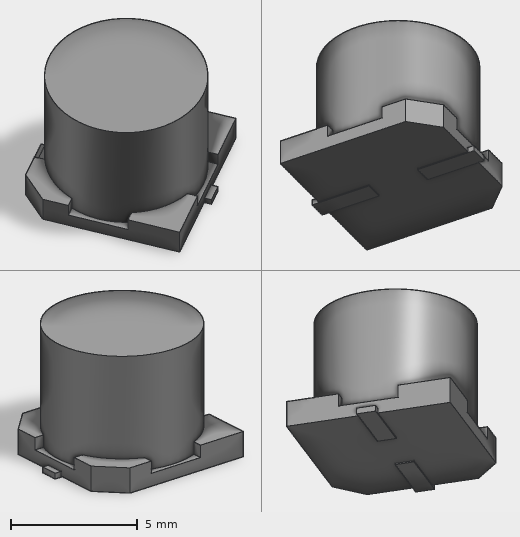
import cadquery as cq

overall_length = 7.39
overall_height = 5.57

base_width = 6.81
base_bottom = 0.05
base_top = 1.145
floor_height = 0.61
corner_chamfer = 1.095
notch_width = 2.48

can_diameter = 6.46

lead_width = 0.79
lead_thickness = 0.25
lead_gap = 2.21
lead_length = (overall_length - lead_gap) / 2


def make_can():
    """Cylindrical can standing on the floor of the base."""
    return (
        cq.Workplane("XY")
        .workplane(offset=floor_height)
        .circle(can_diameter / 2)
        .extrude(overall_height - floor_height)
    )


def make_lead(side):
    """Flat lead running outwards under the base; side is -1 or +1 along X."""
    center_x = side * (lead_gap + lead_length) / 2
    return (
        cq.Workplane("XY")
        .center(center_x, 0)
        .rect(lead_length, lead_width)
        .extrude(lead_thickness)
    )


def make_base(can, leads):
    """Square base with two chamfered corners, side notches, a can seat and lead grooves."""
    base = (
        cq.Workplane("XY")
        .workplane(offset=base_bottom)
        .rect(base_width, base_width)
        .extrude(base_top - base_bottom)
        .edges("|Z and <X")
        .chamfer(corner_chamfer)
    )
    notch_depth = base_top - floor_height
    floor = cq.Workplane("XY").workplane(offset=floor_height)
    base = base.cut(floor.rect(base_width, notch_width).extrude(notch_depth))
    base = base.cut(floor.rect(notch_width, base_width).extrude(notch_depth))
    base = base.cut(can)
    for lead in leads:
        base = base.cut(lead)
    return base.solids()


can = make_can()
leads = [make_lead(side) for side in (-1, 1)]
base = make_base(can, leads)

result = cq.Compound.makeCompound([base.val(), can.val(), *[lead.val() for lead in leads]])